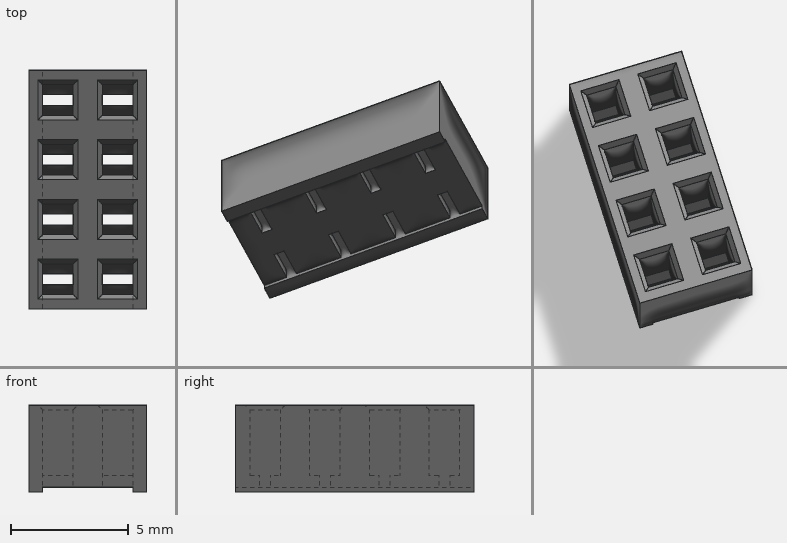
import cadquery as cq

PITCH = 2.54
COLUMNS = 2
ROWS = 4
WIDTH = 5.0
LENGTH = ROWS * PITCH
HEIGHT = 3.7

RAIL_WIDTH = 0.58
RAIL_HEIGHT = 0.2

CAVITY_SIZE = 1.3
LEAD_IN = 0.2
MOUTH_SIZE = CAVITY_SIZE + 2 * LEAD_IN
FLOOR_THICKNESS = 0.5
SLOT_WIDTH = 0.46

FLOOR_BOTTOM = RAIL_HEIGHT
FLOOR_TOP = FLOOR_BOTTOM + FLOOR_THICKNESS


def housing():
    """Block with its underside relieved between the two rails."""
    block = cq.Workplane("XY").box(WIDTH, LENGTH, HEIGHT, centered=(True, True, False))
    relief = cq.Workplane("XY").box(
        WIDTH - 2 * RAIL_WIDTH, LENGTH, RAIL_HEIGHT, centered=(True, True, False)
    )
    return block.cut(relief)


def contact_cavity():
    """Square cavity with a tapered mouth, and a slot through its floor."""
    well = (
        cq.Workplane("XY", origin=(0, 0, FLOOR_TOP))
        .rect(CAVITY_SIZE, CAVITY_SIZE)
        .extrude(HEIGHT - FLOOR_TOP)
    )
    mouth = (
        cq.Workplane("XY", origin=(0, 0, HEIGHT - LEAD_IN))
        .rect(CAVITY_SIZE, CAVITY_SIZE)
        .workplane(offset=LEAD_IN)
        .rect(MOUTH_SIZE, MOUTH_SIZE)
        .loft(ruled=True)
    )
    slot = cq.Workplane("XY").rect(CAVITY_SIZE, SLOT_WIDTH).extrude(FLOOR_TOP)
    return well.union(mouth).union(slot)


def grid_positions():
    """Cavity centres, on a grid centred on the block."""
    for column in range(COLUMNS):
        for row in range(ROWS):
            x = (column - (COLUMNS - 1) / 2) * PITCH
            y = (row - (ROWS - 1) / 2) * PITCH
            yield (x, y, 0)


result = housing()
cavity = contact_cavity()
for position in grid_positions():
    result = result.cut(cavity.translate(position))